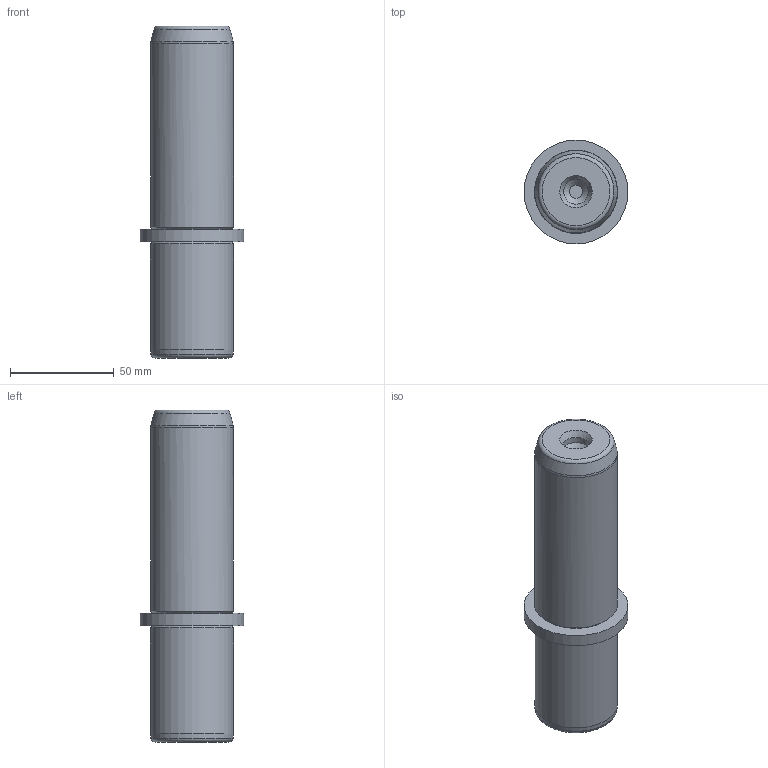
import cadquery as cq
import math

TOTAL_LENGTH = 160.0
SHAFT_RADIUS = 20.0

COLLAR_RADIUS = 25.0
COLLAR_BOTTOM = 56.0
COLLAR_THICKNESS = 6.0
COLLAR_TOP = COLLAR_BOTTOM + COLLAR_THICKNESS

RELIEF_SIZE = 1.0
RELIEF_RADIUS = SHAFT_RADIUS - RELIEF_SIZE

TIP_TAPER_LENGTH = 7.8
TIP_TAPER_ANGLE = 15.0
TIP_EDGE_FILLET = 2.0
TIP_SHOULDER_FILLET = 4.0
TIP_RADIUS = SHAFT_RADIUS - TIP_TAPER_LENGTH * math.tan(math.radians(TIP_TAPER_ANGLE))

FOOT_TAPER_LENGTH = 4.0
FOOT_TAPER_ANGLE = 5.0
FOOT_EDGE_FILLET = 2.0
FOOT_RADIUS = SHAFT_RADIUS - FOOT_TAPER_LENGTH * math.tan(math.radians(FOOT_TAPER_ANGLE))

HOLE_RIM_RADIUS = 7.8
HOLE_SEAT_RADIUS = 6.0
HOLE_BORE_RADIUS = 3.15
HOLE_RIM_DEPTH = 3.0
HOLE_WALL_DEPTH = 6.0
HOLE_SEAT_DEPTH = HOLE_WALL_DEPTH + HOLE_SEAT_RADIUS - HOLE_BORE_RADIUS
HOLE_DEPTH = 16.0


def pillar_body():
    """Revolve the half section (radius, height) of the stepped shaft about Z."""
    return (
        cq.Workplane("XZ")
        .moveTo(0, 0)
        .lineTo(FOOT_RADIUS, 0)
        .lineTo(SHAFT_RADIUS, FOOT_TAPER_LENGTH)
        .lineTo(SHAFT_RADIUS, COLLAR_BOTTOM - RELIEF_SIZE)
        .lineTo(RELIEF_RADIUS, COLLAR_BOTTOM)
        .lineTo(COLLAR_RADIUS, COLLAR_BOTTOM)
        .lineTo(COLLAR_RADIUS, COLLAR_TOP)
        .lineTo(RELIEF_RADIUS, COLLAR_TOP)
        .lineTo(SHAFT_RADIUS, COLLAR_TOP + RELIEF_SIZE)
        .lineTo(SHAFT_RADIUS, TOTAL_LENGTH - TIP_TAPER_LENGTH)
        .lineTo(TIP_RADIUS, TOTAL_LENGTH)
        .lineTo(0, TOTAL_LENGTH)
        .close()
        .revolve(360, (0, 0, 0), (0, 1, 0))
    )


def round_ends(body):
    """Round both end edges and the shoulder where the tip taper meets the shaft."""
    above_collar = cq.selectors.BoxSelector(
        (-COLLAR_RADIUS, -COLLAR_RADIUS, COLLAR_TOP + 2 * RELIEF_SIZE),
        (COLLAR_RADIUS, COLLAR_RADIUS, TOTAL_LENGTH - TIP_EDGE_FILLET),
    )
    return (
        body.faces(">Z").edges().fillet(TIP_EDGE_FILLET)
        .faces("<Z").edges().fillet(FOOT_EDGE_FILLET)
        .edges(above_collar).edges("%CIRCLE").edges("<Z").fillet(TIP_SHOULDER_FILLET)
    )


def centre_hole():
    """Cutter for the stepped conical centre hole, revolved about Z."""
    return (
        cq.Workplane("XZ")
        .moveTo(0, TOTAL_LENGTH)
        .lineTo(HOLE_RIM_RADIUS, TOTAL_LENGTH)
        .lineTo(HOLE_SEAT_RADIUS, TOTAL_LENGTH - HOLE_RIM_DEPTH)
        .lineTo(HOLE_SEAT_RADIUS, TOTAL_LENGTH - HOLE_WALL_DEPTH)
        .lineTo(HOLE_BORE_RADIUS, TOTAL_LENGTH - HOLE_SEAT_DEPTH)
        .lineTo(HOLE_BORE_RADIUS, TOTAL_LENGTH - HOLE_DEPTH)
        .lineTo(0, TOTAL_LENGTH - HOLE_DEPTH)
        .close()
        .revolve(360, (0, 0, 0), (0, 1, 0))
    )


result = round_ends(pillar_body()).cut(centre_hole())